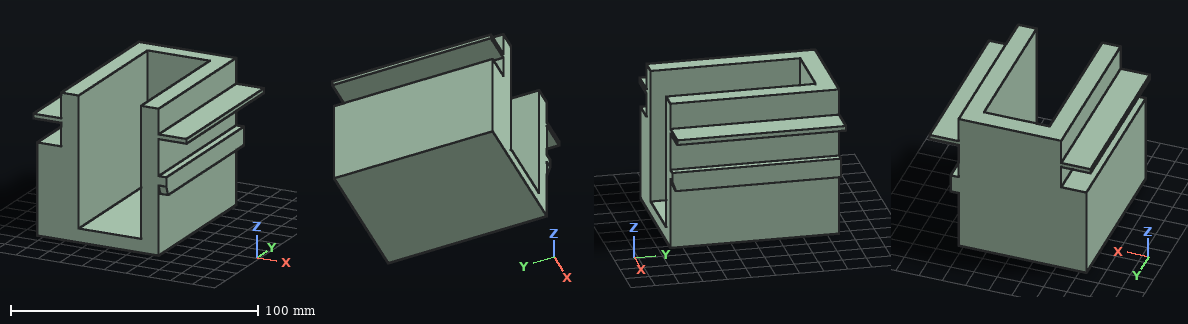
import cadquery as cq

length = 70.0
height = 63.0
body_width = 44.2
wall = 8.0
floor = 6.0

step_width = 10.85
step_height = 40.0

flange_width = 12.6
flange_thickness = 2.0
flange_drop = 11.0

rail_width = 3.5
rail_base = 26.1
rail_height = 8.05
rail_slope_height = rail_height / 2
rail_slope_depth = 1.5

half_width = body_width / 2
front = -length / 2
back = length / 2


def block(x_min, x_max, y_min, y_max, z_min, z_max):
    """Box given by its limits along each axis."""
    size = (x_max - x_min, y_max - y_min, z_max - z_min)
    return cq.Workplane("XY").box(*size, centered=False).translate((x_min, y_min, z_min))


def make_body():
    """Tall body with its low side step."""
    body = block(-half_width, half_width, front, back, 0, height)
    step = block(-half_width - step_width, -half_width, front, back, 0, step_height)
    return body.union(step)


def make_flanges():
    """One plate crossing the body and standing out on both sides."""
    reach = half_width + flange_width
    top = height - flange_drop
    return block(-reach, reach, front, back, top - flange_thickness, top)


def make_rail():
    """Side profile of the rail, extruded out from the +X wall."""
    profile = [
        (front + rail_slope_depth, rail_base),
        (back, rail_base),
        (back, rail_base + rail_height),
        (front, rail_base + rail_height),
        (front, rail_base + rail_slope_height),
    ]
    wall_plane = cq.Workplane("YZ", origin=(half_width, 0, 0))
    return wall_plane.polyline(profile).close().extrude(rail_width)


def make_channel():
    """Pocket open at the top and the front, closed at the back."""
    half_channel = half_width - wall
    return block(-half_channel, half_channel, front, back - wall, floor, height)


result = make_body().union(make_flanges()).union(make_rail()).cut(make_channel())